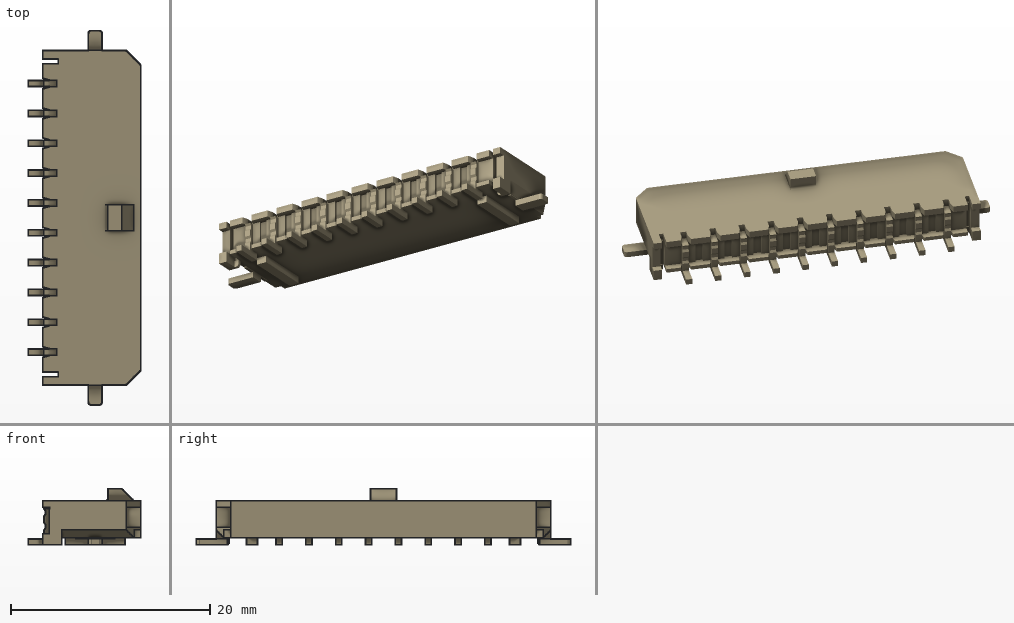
import cadquery as cq

length = 33.65
half_length = length / 2
depth = 9.85
base_z = 0.7
top_z = 4.45
corner_chamfer = 1.45
bevel = 0.8

recess_depth = 0.68
recess_bottom_z = 1.13
recess_top_z = 3.75

corner_notch_bottom_z = 1.77
corner_notch_top_z = 3.8
low_notch_x = 9.2

foot_depth = 1.92
foot_width = 1.3
foot_chamfer = 0.2
slot_offset = 0.85
slot_depth = 1.55
slot_width = foot_width - slot_offset
slot_ledge = 0.2
slot_relief = 0.15
slot_relief_bottom_z = 0.68
slot_relief_top_z = 2.75

pin_count = 10
pin_span = 27.0
pitch = pin_span / (pin_count - 1)
pin_width = 0.65
pin_front_x = 0.1
pin_back_x = 1.4
pin_top_z = 3.65
pin_tail_length = 1.45
pin_tail_thickness = 0.6
notch_mouth_width = 1.05
groove_depth = 0.15
groove_height = 0.8
groove_slope_height = 0.23
groove_tops_z = (pin_top_z, 2.25)

wall_groove_width = 0.8
wall_groove_depth = 0.25

latch_front_x = 6.55
latch_flat_length = 1.4
latch_width = 2.65
latch_height = 1.2
latch_fillet = 0.23

tab_center_x = 5.27
tab_width = 1.4
tab_tip_y = 18.82
tab_tip_radius = 0.3
tab_thickness = 0.6
tab_mount_width = 3.9
tab_mount_length = 0.3

pad_width = 6.02
pad_inner_y = 12.65
pad_length = 1.1

pin_positions = [(i - (pin_count - 1) / 2) * pitch for i in range(pin_count)]
gap_positions = [y + pitch / 2 for y in pin_positions[:-1]]


def block(x_range, y_range, z_range):
    """Box given by its lower and upper limit along each axis."""
    sizes = [high - low for low, high in (x_range, y_range, z_range)]
    corner = (x_range[0], y_range[0], z_range[0])
    return cq.Workplane("XY").box(*sizes, centered=False).translate(corner)


def extrude_along_y(points, y_start, y_end):
    """Prism along Y from an outline of (x, z) points."""
    outline = cq.Workplane("XZ", origin=(0, y_start, 0)).polyline(points).close()
    return outline.extrude(y_start - y_end)


def extrude_along_x(points, x_start, x_end):
    """Prism along X from an outline of (y, z) points."""
    outline = cq.Workplane("YZ", origin=(x_start, 0, 0)).polyline(points).close()
    return outline.extrude(x_end - x_start)


def at_both_ends(shape):
    """The shape together with its mirror image at the other end."""
    return shape.union(shape.mirror("XZ"))


def make_shell():
    shell = block((0, depth), (-half_length, half_length), (base_z, top_z))
    shell = shell.edges("|Z and >X").chamfer(corner_chamfer)
    recess = block(
        (0, recess_depth), (-half_length, half_length), (recess_bottom_z, recess_top_z)
    )
    return shell.cut(recess)


def end_bevel():
    """Sloped undercut of the lower end edge, behind the foot."""
    points = [
        (-half_length, base_z),
        (-half_length + bevel, base_z),
        (-half_length, base_z + bevel),
    ]
    return extrude_along_x(points, foot_depth, depth)


def corner_notches():
    y_range = (-half_length, -half_length + corner_chamfer)
    middle = block(
        (depth - corner_chamfer, depth), y_range, (corner_notch_bottom_z, corner_notch_top_z)
    )
    low = block((low_notch_x, depth), y_range, (base_z, base_z + bevel))
    return middle.union(low)


def foot():
    shape = block((0, foot_depth), (-half_length, -half_length + foot_width), (0, base_z))
    return shape.edges(">Y and <Z").chamfer(foot_chamfer)


def clip_slot():
    """Slot through the full height, with a sloped ledge and a relief in its end wall."""
    y_start = -half_length + slot_offset
    y_end = y_start + slot_width
    slot = block((0, slot_depth), (y_start, y_end), (0, top_z))
    ledge = [
        (slot_depth, recess_top_z),
        (slot_depth + slot_ledge, recess_top_z),
        (slot_depth, recess_top_z - slot_ledge),
    ]
    relief = block(
        (slot_depth, slot_depth + slot_relief),
        (y_start, y_end),
        (slot_relief_bottom_z, slot_relief_top_z),
    )
    return slot.union(extrude_along_y(ledge, y_start, y_end)).union(relief)


def pin_notch(y):
    """Slot for a terminal, flared where it passes the two bars."""
    outline = [
        (0, notch_mouth_width / 2),
        (recess_depth, pin_width / 2),
        (pin_back_x, pin_width / 2),
        (pin_back_x, -pin_width / 2),
        (recess_depth, -pin_width / 2),
        (0, -notch_mouth_width / 2),
    ]
    base = cq.Workplane("XY", origin=(0, y, base_z))
    return base.polyline(outline).close().extrude(top_z - base_z)


def pin(y):
    """Upright terminal with a solder tail and grooves across its front."""
    y_start = y - pin_width / 2
    y_end = y + pin_width / 2
    post = block((pin_front_x, pin_back_x), (y_start, y_end), (0, pin_top_z))
    for groove_top in groove_tops_z:
        groove_bottom = groove_top - groove_height
        groove = [
            (pin_front_x, groove_top),
            (pin_front_x + groove_depth, groove_top - groove_slope_height),
            (pin_front_x + groove_depth, groove_bottom + groove_slope_height),
            (pin_front_x, groove_bottom),
        ]
        post = post.cut(extrude_along_y(groove, y_start, y_end))
    tail = block((-pin_tail_length, pin_front_x), (y_start, y_end), (0, pin_tail_thickness))
    return post.union(tail)


def wall_groove(y):
    return block(
        (recess_depth, recess_depth + wall_groove_depth),
        (y - wall_groove_width / 2, y + wall_groove_width / 2),
        (recess_bottom_z, recess_top_z),
    )


def latch():
    ramp_start_x = latch_front_x + latch_flat_length
    profile = [
        (latch_front_x, top_z),
        (latch_front_x, top_z + latch_height),
        (ramp_start_x, top_z + latch_height),
        (ramp_start_x + latch_height, top_z),
    ]
    ramp = extrude_along_y(profile, -latch_width / 2, latch_width / 2)
    fillet = (
        cq.Workplane("XZ", origin=(0, -latch_width / 2, 0))
        .moveTo(latch_front_x, top_z)
        .lineTo(latch_front_x - latch_fillet, top_z)
        .radiusArc((latch_front_x, top_z + latch_fillet), -latch_fillet)
        .close()
        .extrude(-latch_width)
    )
    return ramp.union(fillet)


def across_tab(width):
    """X limits of a width centered on the solder tabs."""
    return (tab_center_x - width / 2, tab_center_x + width / 2)


def solder_tab():
    """Flat tab with a rounded tip, hung under the housing by a wider mount."""
    inner_y = -half_length + foot_width - foot_chamfer
    tab = block(across_tab(tab_width), (-tab_tip_y, inner_y), (0, tab_thickness))
    tab = tab.edges("|Z and <Y").fillet(tab_tip_radius)
    mount_y = (inner_y - tab_mount_length, inner_y)
    mount = block(across_tab(tab_mount_width), mount_y, (tab_thickness, base_z))
    return tab.union(mount)


def standoff_pad():
    pad_y = (-pad_inner_y - pad_length, -pad_inner_y)
    return block(across_tab(pad_width), pad_y, (0, base_z))


result = make_shell()
result = result.cut(at_both_ends(end_bevel()))
result = result.cut(at_both_ends(corner_notches()))
result = result.union(at_both_ends(foot()))
result = result.cut(at_both_ends(clip_slot()))
for gap_y in gap_positions:
    result = result.cut(wall_groove(gap_y))
for pin_y in pin_positions:
    result = result.cut(pin_notch(pin_y)).union(pin(pin_y))
result = result.union(latch())
result = result.union(at_both_ends(standoff_pad()))
result = result.union(at_both_ends(solder_tab()))